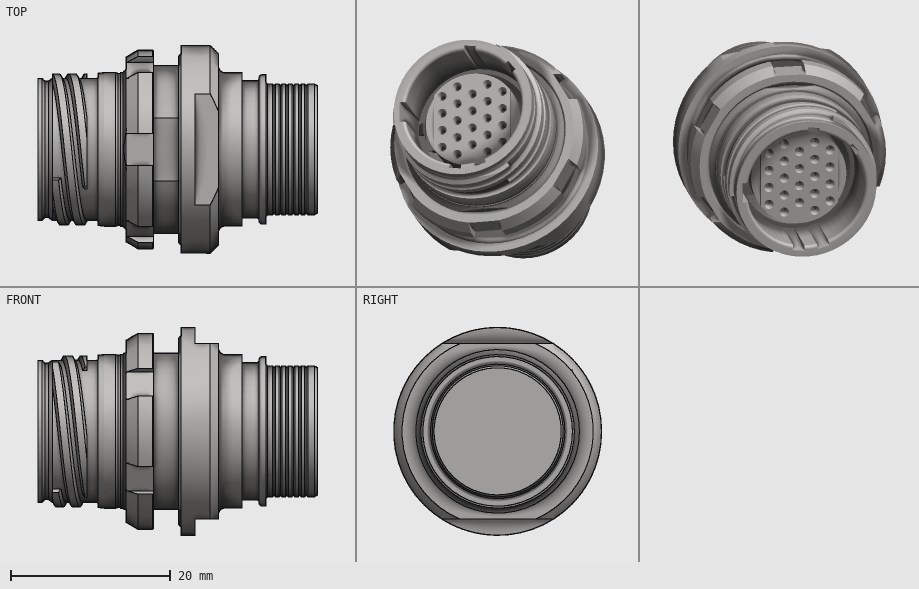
import cadquery as cq
import math


LENGTH = 35.0

lip_radius = 8.9
lip_length = 0.52
relief_radius = 8.55
relief_start = 0.88
relief_end = 1.33
coupling_start = 1.82
coupling_end = 6.12
collar_start = 7.55
collar_fillet = 0.2
collar_radius = 9.52
band_start = 8.33
band_radius = 9.62
groove_start = 9.7
groove_floor_start = 10.0
groove_end = 10.35
groove_depth = 0.1
band_end = 10.65

thread_starts = 3
thread_lead = 6.15
thread_height = 0.55
thread_crest_width = 0.9
thread_root_width = 1.55
thread_first_centre = 2.15
thread_last_centre = 6.37
thread_top_centre = 3.78

barrel_radius = 10.55
barrel_flat_height = 9.75
flange_face = 17.92
flange_radius = 13.002
flange_back = 22.6
flange_chamfer = 1.05
flange_flat_height = 11.0
flange_flat_start = 19.67

neck_root_radius = 10.22
neck_radius = 9.6
neck_start = 23.45
neck_end = 25.55
spigot_radius = 8.6
spigot_fillet = 0.2
ring_start = 27.65
ring_end = 28.52
ring_radius = 9.35
ring_round = 0.42
rear_root_radius = 8.4
rear_start = 28.7
rear_radius = 8.2
rear_chamfer_length = 0.42
rear_chamfer_depth = 0.25
rear_groove_count = 6
rear_groove_first = 29.55
rear_groove_pitch = 0.8
rear_groove_width = 0.4
rear_groove_depth = 0.2

socket_radius = 7.5
mouth_round = 0.42
shelf_depth = 7.35
insert_face = 4.83
insert_radius = 6.05
insert_flat_height = 4.9
insert_step = 0.52
trench_radius = 6.93
trench_mid_radius = 6.5
trench_step = 0.35
trench_gap_half_width = 2.8

master_key_width = 2.6
master_key_reach = 8.12
minor_key_width = 1.5
minor_key_reach = 8.1
minor_key_angles = [96.6, 141.4, -82.7, -106.0]
locator_width = 1.47
locator_inner = 6.72
locator_outer = 7.42
locator_length = 0.88
pocket_inner = 6.1
pocket_outer = 6.7
pocket_depth = 0.7

contact_pitch = 2.25
contact_columns = [4, 5, 4, 5, 4]
contact_mouth_radius = 0.6
contact_radius = 0.298
contact_mouth_depth = 0.7
contact_depth = 1.75

nut_start = 11.05
nut_end = 14.5
nut_face_radius = 11.55
nut_radius = 12.42
nut_cone_length = 1.47
nut_back_chamfer = 0.15
nut_bore_radius = 9.87
nut_slot_count = 6
nut_slot_width = 4.0
nut_slot_floor = 11.4

seal_tube_radius = 0.42
seal_ring_radius = 11.5
seal_protrusion = 0.3


def turned(outline):
    """Spin a closed (x, radius) outline around the X axis."""
    return outline.close().revolve(360, (0, 0, 0), (1, 0, 0))


def disc(start, end, radius):
    """Cylinder on the X axis."""
    return cq.Workplane("YZ", origin=(start, 0, 0)).circle(radius).extrude(end - start)


def block(x_range, y_range, z_range):
    """Box between the given limits."""
    size = [high - low for low, high in (x_range, y_range, z_range)]
    corner = (x_range[0], y_range[0], z_range[0])
    return cq.Workplane("XY").box(*size, centered=False).translate(corner)


def above(height, start, end):
    """Box that takes everything beyond a flat at the given height, between two X positions."""
    reach = 2 * flange_radius
    return block((start, end), (-reach, reach), (height, height + reach))


def about_axis(body, angle):
    return body.rotate((0, 0, 0), (1, 0, 0), angle)


def seal_torus():
    """Round-section ring that stands slightly proud of the flange face."""
    centre_x = flange_face - seal_protrusion + seal_tube_radius
    section = cq.Workplane("XY").moveTo(centre_x, seal_ring_radius).circle(seal_tube_radius)
    return section.revolve(360, (0, 0, 0), (1, 0, 0))


def outer_body():
    """Turned outside of the shell, from the coupling lip to the rear end."""
    barrel_start = band_end + barrel_radius - band_radius
    chamfered_radius = flange_radius - flange_chamfer
    run = neck_start - flange_back
    rise = neck_root_radius - neck_radius
    sweep = 2 * math.atan2(rise, run)
    fillet_radius = run / math.sin(sweep)
    fillet_middle = (
        neck_start - fillet_radius * math.sin(sweep / 2),
        neck_radius + fillet_radius * (1 - math.cos(sweep / 2)),
    )
    outline = (
        cq.Workplane("XY")
        .moveTo(0, 0)
        .lineTo(0, lip_radius)
        .lineTo(lip_length, lip_radius)
        .lineTo(relief_start, relief_radius)
        .lineTo(relief_end, relief_radius)
        .lineTo(coupling_start, lip_radius)
        .lineTo(collar_start - collar_fillet, lip_radius)
        .radiusArc((collar_start, lip_radius + collar_fillet), -collar_fillet)
        .lineTo(collar_start, collar_radius)
        .lineTo(band_start, band_radius)
        .lineTo(groove_start, band_radius)
        .lineTo(groove_floor_start, band_radius - groove_depth)
        .lineTo(groove_end, band_radius - groove_depth)
        .lineTo(groove_end, band_radius)
        .lineTo(band_end, band_radius)
        .lineTo(barrel_start, barrel_radius)
        .lineTo(flange_face, barrel_radius)
        .lineTo(flange_face, flange_radius)
        .lineTo(flange_back - flange_chamfer, flange_radius)
        .lineTo(flange_back, chamfered_radius)
        .lineTo(flange_back, neck_root_radius)
        .threePointArc(fillet_middle, (neck_start, neck_radius))
        .lineTo(neck_end, neck_radius)
        .lineTo(neck_end, spigot_radius)
        .lineTo(ring_start - spigot_fillet, spigot_radius)
        .radiusArc((ring_start, spigot_radius + spigot_fillet), -spigot_fillet)
        .lineTo(ring_start, ring_radius - ring_round)
        .radiusArc((ring_start + ring_round, ring_radius), ring_round)
        .lineTo(ring_end, ring_radius)
        .lineTo(ring_end, rear_root_radius)
        .lineTo(rear_start, rear_radius)
        .lineTo(LENGTH - rear_chamfer_length, rear_radius)
        .lineTo(LENGTH, rear_radius - rear_chamfer_depth)
        .lineTo(LENGTH, 0)
    )
    return turned(outline)


def rear_groove(centre):
    """V-shaped ring groove in the rear spigot."""
    half = rear_groove_width / 2
    outline = (
        cq.Workplane("XY")
        .moveTo(centre - half, rear_radius)
        .lineTo(centre, rear_radius - rear_groove_depth)
        .lineTo(centre + half, rear_radius)
    )
    return turned(outline)


def thread_ridge(turn):
    """One helical ridge of the coupling thread, turned from the first by an angle in degrees."""
    embed = 0.2
    flank_run = (thread_root_width - thread_crest_width) / 2
    root = lip_radius - embed
    crest = lip_radius + thread_height
    half_crest = thread_crest_width / 2
    half_root = half_crest + flank_run * (1 + embed / thread_height)
    height = thread_last_centre - thread_first_centre
    path = cq.Wire.makeHelix(thread_lead, height, root)
    ridge = (
        cq.Workplane("XZ")
        .polyline([(root, -half_root), (crest, -half_crest), (crest, half_crest), (root, half_root)])
        .close()
        .sweep(cq.Workplane(obj=path), isFrenet=True)
    )
    ridge = ridge.rotate((0, 0, 0), (0, 1, 0), 90).translate((thread_first_centre, 0, 0))
    begin_to_top = 360 * (thread_top_centre - thread_first_centre) / thread_lead
    ridge = about_axis(ridge, 180 - begin_to_top + turn)
    sleeve = disc(coupling_start, coupling_end, crest + 0.35)
    return ridge.intersect(sleeve)


def socket():
    """Open space of the coupling end: round-lipped bore down to the shelf, less the contact insert."""
    bore = (
        cq.Workplane("XY")
        .moveTo(0, 0)
        .lineTo(0, socket_radius + mouth_round)
        .radiusArc((mouth_round, socket_radius), -mouth_round)
        .lineTo(shelf_depth, socket_radius)
        .lineTo(shelf_depth, trench_radius)
        .lineTo(shelf_depth + trench_step, trench_mid_radius)
        .lineTo(shelf_depth + 2 * trench_step, trench_mid_radius)
        .lineTo(shelf_depth + 3 * trench_step, insert_radius)
        .lineTo(shelf_depth + 3 * trench_step, 0)
    )
    insert = disc(insert_face, LENGTH, insert_radius)
    for side in (0, 180):
        edge = above(insert_flat_height, insert_face, insert_face + insert_step)
        insert = insert.cut(about_axis(edge, 90 + side))
    trench_gap = block(
        (shelf_depth, LENGTH), (insert_flat_height, socket_radius), (-trench_gap_half_width, trench_gap_half_width)
    )
    return turned(bore).cut(insert).cut(trench_gap)


def keyway(width, reach, angle):
    """Slot in the socket wall whose floor rises to the wall at the shelf; angle from +Y towards +Z."""
    slot = (
        cq.Workplane("XY", origin=(0, 0, -width / 2))
        .moveTo(0, insert_radius + 0.35)
        .lineTo(0, reach)
        .lineTo(shelf_depth, socket_radius)
        .lineTo(shelf_depth, insert_radius + 0.35)
        .close()
        .extrude(width)
    )
    return about_axis(slot, angle)


def locator():
    """Sloping key on the shelf, in line with the master keyway."""
    return (
        cq.Workplane("XY", origin=(0, 0, -locator_width / 2))
        .moveTo(shelf_depth - locator_length, locator_inner)
        .lineTo(shelf_depth, locator_outer)
        .lineTo(shelf_depth, locator_inner)
        .close()
        .extrude(locator_width)
    )


def locator_pocket():
    """Pocket between the locator and the insert."""
    half = master_key_width / 2
    return block((shelf_depth, shelf_depth + pocket_depth), (pocket_inner, pocket_outer), (-half, half))


def contact_places():
    """(y, z) centres of the contacts, in staggered columns."""
    column_pitch = contact_pitch * math.sqrt(3) / 2
    middle = (len(contact_columns) - 1) / 2
    return [
        ((column - middle) * column_pitch, (row - (count - 1) / 2) * contact_pitch)
        for column, count in enumerate(contact_columns)
        for row in range(count)
    ]


def contact_hole(y, z):
    """Blind contact hole with a funnel mouth."""
    outline = (
        cq.Workplane("XY")
        .moveTo(insert_face, 0)
        .lineTo(insert_face, contact_mouth_radius)
        .lineTo(insert_face + contact_mouth_depth, contact_radius)
        .lineTo(insert_face + contact_depth, contact_radius)
        .lineTo(insert_face + contact_depth, 0)
    )
    return turned(outline).translate((0, y, z))


def make_shell():
    shell = outer_body()
    for side in (0, 180):
        shell = shell.cut(about_axis(above(barrel_flat_height, band_end, flange_face), side))
        shell = shell.cut(about_axis(above(flange_flat_height, flange_flat_start, flange_back), side))
    for index in range(rear_groove_count):
        shell = shell.cut(rear_groove(rear_groove_first + index * rear_groove_pitch))
    for index in range(thread_starts):
        shell = shell.union(thread_ridge(index * 360 / thread_starts))
    shell = shell.cut(socket())
    shell = shell.cut(keyway(master_key_width, master_key_reach, 0))
    for angle in minor_key_angles:
        shell = shell.cut(keyway(minor_key_width, minor_key_reach, angle))
    shell = shell.cut(locator_pocket()).union(locator())
    for y, z in contact_places():
        shell = shell.cut(contact_hole(y, z))
    return shell.cut(seal_torus())


def make_nut():
    """Slotted panel nut whose countersunk bore fits closely around the barrel."""
    outline = (
        cq.Workplane("XY")
        .moveTo(nut_start, barrel_radius)
        .lineTo(nut_start, nut_face_radius)
        .lineTo(nut_start + nut_cone_length, nut_radius)
        .lineTo(nut_end - nut_back_chamfer, nut_radius)
        .lineTo(nut_end, nut_radius - nut_back_chamfer)
        .lineTo(nut_end, nut_bore_radius)
        .lineTo(nut_start + barrel_radius - nut_bore_radius, nut_bore_radius)
    )
    nut = turned(outline)
    half = nut_slot_width / 2
    slot = block((nut_start, nut_end), (-half, half), (nut_slot_floor, flange_radius))
    for index in range(nut_slot_count):
        nut = nut.cut(about_axis(slot, index * 360 / nut_slot_count))
    barrel = outer_body()
    for side in (0, 180):
        barrel = barrel.cut(about_axis(above(barrel_flat_height, band_end, flange_face), side))
    return nut.cut(barrel)


shell = make_shell()
panel_nut = make_nut()
sealing_ring = seal_torus()

result = cq.Compound.makeCompound([shell.val(), panel_nut.val(), sealing_ring.val()])